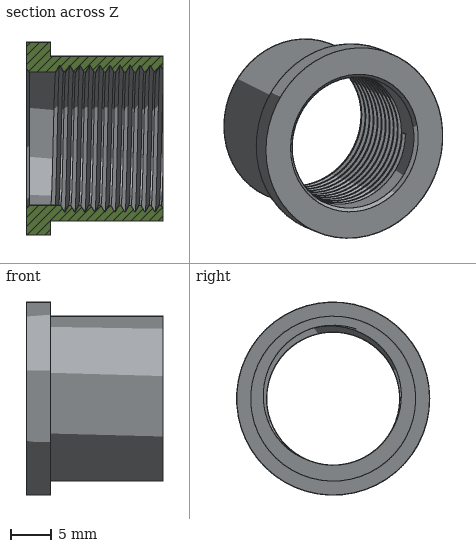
import cadquery as cq

length = 17.0
flange_radius = 12.0
flange_thickness = 3.0
barrel_radius = 10.25

bore_radius = 8.25
chamfer = 0.4

thread_pitch = 1.25
thread_start = 3.02
groove_width = 0.98
groove_depth = 0.86
bore_overlap = 0.12


def cylinder(radius, height):
    return cq.Workplane("YZ").circle(radius).extrude(height)


def entry_chamfer():
    """Cone that breaks the bore edge at the flange face."""
    profile = cq.Workplane("XY").polyline(
        [(0, 0), (0, bore_radius + chamfer), (chamfer, bore_radius), (chamfer, 0)]
    )
    return profile.close().revolve(360, (0, 0, 0), (1, 0, 0))


def thread_cutter():
    """Solid V ridge on a helix that runs out through the far end."""
    helix_height = length - thread_start + thread_pitch
    inner_radius = bore_radius - bore_overlap
    tip_radius = bore_radius + groove_depth
    overlap_width = bore_overlap * groove_width / (2 * groove_depth)

    def helix(radius, offset):
        wire = cq.Wire.makeHelix(thread_pitch, helix_height, radius)
        return wire.translate(cq.Vector(0, 0, offset))

    near = helix(inner_radius, -overlap_width)
    tip = helix(tip_radius, groove_width / 2)
    far = helix(inner_radius, groove_width + overlap_width)

    def end_cap(position):
        corners = [wire.Edges()[0].positionAt(position) for wire in (near, tip, far)]
        return cq.Face.makeFromWires(cq.Wire.makePolygon(corners, close=True))

    faces = [
        cq.Face.makeRuledSurface(near, tip),
        cq.Face.makeRuledSurface(tip, far),
        cq.Face.makeRuledSurface(far, near),
        end_cap(0),
        end_cap(1),
    ]
    cutter = cq.Workplane(cq.Solid.makeSolid(cq.Shell.makeShell(faces)))
    cutter = cutter.rotate((0, 0, 0), (0, 0, 1), 90)
    cutter = cutter.rotate((0, 0, 0), (0, 1, 0), 90)
    cutter = cutter.rotate((0, 0, 0), (1, 0, 0), 180)
    return cutter.translate((thread_start, 0, 0))


body = cylinder(barrel_radius, length).union(cylinder(flange_radius, flange_thickness))
body = body.cut(cylinder(bore_radius, length)).cut(entry_chamfer())

result = body.cut(thread_cutter())